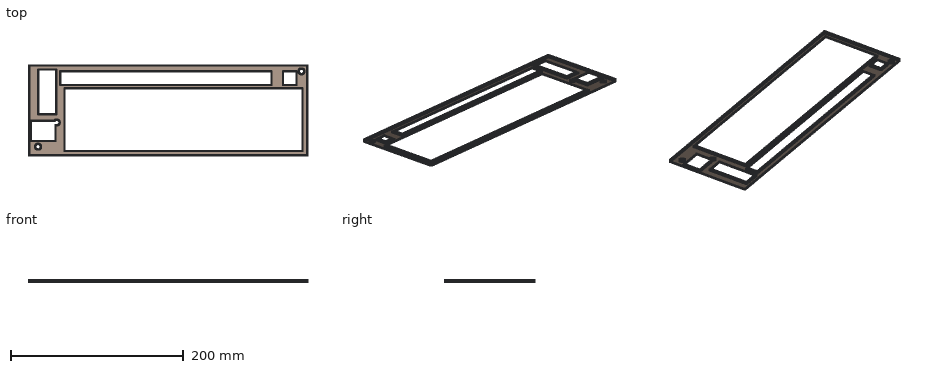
import cadquery as cq

length = 322.0
width = 104.0
thickness = 2.55

hole_diameter = 6.5
lower_hole_center = (10.3, 10.0)
upper_hole_center = (315.3, 97.3)
corner_relief_center = (32.0, 38.0)

row_bottom = 81.5
row_top = 97.3

main_window = (41.0, 5.0, 316.3, 77.5)
long_slot = (36.0, row_bottom, 280.5, row_top)
square_window = (294.0, row_bottom, 309.5, row_top)
tall_window = (10.5, 47.7, 31.2, 99.2)
corner_window = (2.0, 16.7, 30.3, 40.0)


def rectangular_cutter(left, bottom, right, top):
    """Block through the full plate thickness, given by its edges."""
    block = cq.Workplane("XY").box(right - left, top - bottom, thickness, centered=False)
    return block.translate((left, bottom, 0))


def round_cutter(center):
    """Cylinder through the full plate thickness."""
    return cq.Workplane("XY").center(*center).circle(hole_diameter / 2).extrude(thickness)


plate = cq.Workplane("XY").box(length, width, thickness, centered=False)

for opening in (main_window, long_slot, square_window, tall_window, corner_window):
    plate = plate.cut(rectangular_cutter(*opening))

for hole_center in (lower_hole_center, upper_hole_center, corner_relief_center):
    plate = plate.cut(round_cutter(hole_center))

result = plate